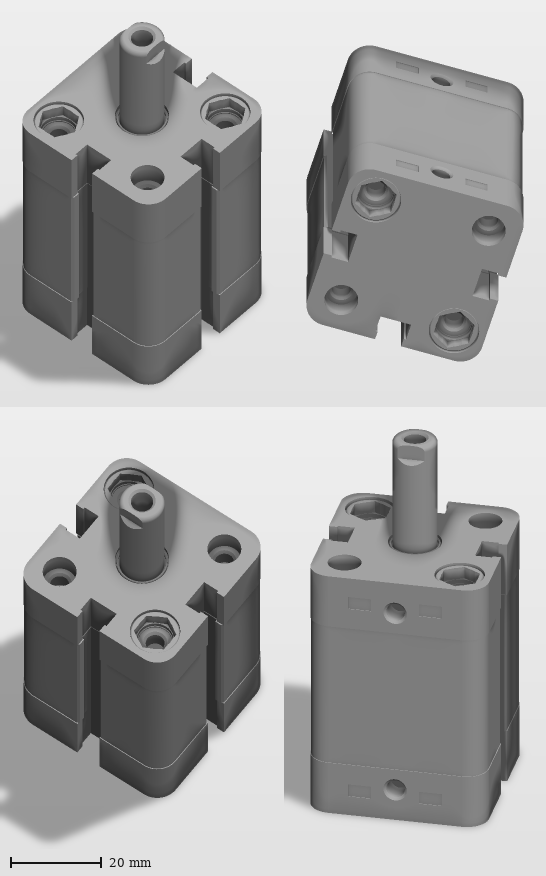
import cadquery as cq
import math

total_height = 85.0
cap_width = 40.3
barrel_width = 39.95
housing_height = 59.0
cap_height = 12.5
barrel_height = housing_height - 2 * cap_height
cap_corner_radius = 5.0
barrel_corner_radius = cap_corner_radius - (cap_width - barrel_width) / 2

cap_slot = {"mouth": 6.0, "inner": 7.05, "ledge": 18.2, "floor": 14.4}
barrel_slot = {"mouth": 5.5, "inner": 6.7, "ledge": 17.9, "floor": 14.45}
barrel_mouth_chamfer = 0.5
slot_directions = (0, 90, 270)

rod_diameter = 10.0
rod_tip_fillet = 1.3
rod_flat_width = 8.0
rod_flat_length = 3.5
rod_thread_diameter = 4.9
rod_thread_chamfer_diameter = 6.0
rod_thread_depth = 11.9
drill_point_angle = 118.0

rod_opening_diameter = 12.0
rod_opening_depth = 1.0
wiper_outer_diameter = 11.4
wiper_inner_diameter = 10.45
wiper_chamfer = 0.2
wiper_below_face = 0.2

screw_offset = 13.0
head_recess_diameter = 11.1
head_diameter = 10.9
head_chamfer = 0.21
head_recess_depth = 1.0
head_below_face = 0.5
socket_across_flats = 8.2
socket_relief_diameter = 8.3
socket_depth = 2.8
socket_bore_diameter = 8.0
socket_bore_depth = 1.0
socket_floor_diameter = 7.5
socket_floor_depth = 0.25
shank_hole_diameter = 7.5
shank_hole_depth = 5.0

thread_diameter = 4.2
thread_chamfer_diameter = 5.3
thread_chamfer_depth = (thread_chamfer_diameter - thread_diameter) / 2
screw_thread_depth = 4.25
port_depth = 5.1
port_from_end = 7.5

panel_length = 5.2
panel_height = 3.0
panel_depth = 0.2
panel_offset = 8.0
panel_rise = 1.4


def square_prism(width, height, corner_radius):
    prism = cq.Workplane("XY").rect(width, width).extrude(height)
    return prism.edges("|Z").fillet(corner_radius)


def disc(diameter, top, depth, centre=(0, 0)):
    """Vertical cylinder that reaches down by depth from the height top."""
    return cq.Workplane("XY", origin=(*centre, top - depth)).circle(diameter / 2).extrude(depth)


def slot_cutter(width, height, slot, mouth_chamfer=0):
    """T-slot opening on the +X side."""
    face = width / 2
    ledge = slot["ledge"]
    floor = slot["floor"]
    mouth = slot["mouth"] / 2
    inner = slot["inner"] / 2
    half = [(floor, inner), (ledge, inner), (ledge, mouth), (face - mouth_chamfer, mouth)]
    if mouth_chamfer > 0:
        half.append((face, mouth + mouth_chamfer))
    mirrored = [(x, -y) for x, y in reversed(half)]
    return cq.Workplane("XY").polyline(half + mirrored).close().extrude(height)


def cut_slots(body, cutter):
    for angle in slot_directions:
        body = body.cut(cutter.rotate((0, 0, 0), (0, 0, 1), angle))
    return body


def threaded_hole(depth):
    """Blind hole going down from the origin, with a chamfered mouth."""
    radius = thread_diameter / 2
    outline = [
        (0, 0),
        (thread_chamfer_diameter / 2, 0),
        (radius, -thread_chamfer_depth),
        (radius, -depth),
        (0, -depth),
    ]
    return cq.Workplane("XZ").polyline(outline).close().revolve(360, (0, 0, 0), (0, 1, 0))


def cut_head_corner(cap, centre):
    """Screw head with a hexagon socket, surrounded by a narrow groove."""
    recess = disc(head_recess_diameter, cap_height, head_recess_depth, centre)
    head_top = cap_height - head_below_face
    head = disc(head_diameter, head_top, head_recess_depth - head_below_face, centre)
    head = head.faces(">Z").chamfer(head_chamfer)
    cap = cap.cut(recess.cut(head))

    socket_floor = head_top - socket_depth
    across_corners = socket_across_flats / math.cos(math.radians(30))
    floor_plane = cq.Workplane("XY", origin=(*centre, socket_floor))
    hexagon = floor_plane.polygon(6, across_corners).extrude(socket_depth)
    cap = cap.cut(hexagon).cut(disc(socket_relief_diameter, head_top, socket_depth, centre))

    bore_floor = socket_floor - socket_bore_depth
    cap = cap.cut(disc(socket_bore_diameter, socket_floor, socket_bore_depth, centre))
    cap = cap.cut(disc(socket_floor_diameter, bore_floor, socket_floor_depth, centre))
    return cap.cut(threaded_hole(screw_thread_depth).translate((*centre, bore_floor - socket_floor_depth)))


def cut_shank_corner(cap, centre):
    """Plain bore that ends on the threaded end of the opposite screw."""
    cap = cap.cut(disc(shank_hole_diameter, cap_height, shank_hole_depth, centre))
    return cap.cut(threaded_hole(screw_thread_depth).translate((*centre, cap_height - shank_hole_depth)))


def cut_port(cap):
    """Air port and its two label panels on the -X side."""
    port_height = cap_height - port_from_end
    port = threaded_hole(port_depth).rotate((0, 0, 0), (0, 1, 0), -90)
    cap = cap.cut(port.translate((-cap_width / 2, 0, port_height)))
    for side in (-1, 1):
        panel = cq.Workplane("XY").box(2 * panel_depth, panel_length, panel_height)
        cap = cap.cut(panel.translate((-cap_width / 2, side * panel_offset, port_height + panel_rise)))
    return cap


def make_cap():
    """Cap with its inner face at Z = 0 and its outer face on top."""
    cap = square_prism(cap_width, cap_height, cap_corner_radius)
    cap = cut_slots(cap, slot_cutter(cap_width, cap_height, cap_slot))
    for side in (-1, 1):
        cap = cut_head_corner(cap, (side * screw_offset, side * screw_offset))
        cap = cut_shank_corner(cap, (side * screw_offset, -side * screw_offset))
    return cut_port(cap)


def wiper_lip():
    """Raised ring around the rod, with both top edges chamfered."""
    top = cap_height - wiper_below_face
    height = rod_opening_depth - wiper_below_face
    lip = disc(wiper_outer_diameter, top, height).cut(disc(wiper_inner_diameter, top, height))
    return lip.faces(">Z").edges().chamfer(wiper_chamfer)


def make_front_cap():
    cap = make_cap()
    cap = cap.cut(disc(rod_diameter, cap_height, cap_height))
    opening = disc(rod_opening_diameter, cap_height, rod_opening_depth)
    cap = cap.cut(opening.cut(wiper_lip()))
    return cap.translate((0, 0, housing_height - cap_height))


def make_rear_cap():
    """The same cap turned over about the X axis."""
    return make_cap().rotate((0, 0, 0), (1, 0, 0), 180).translate((0, 0, cap_height))


def make_barrel():
    barrel = square_prism(barrel_width, barrel_height, barrel_corner_radius)
    barrel = cut_slots(barrel, slot_cutter(barrel_width, barrel_height, barrel_slot, barrel_mouth_chamfer))
    return barrel.translate((0, 0, cap_height))


def make_piston_rod():
    rod_bottom = housing_height - cap_height
    rod = disc(rod_diameter, total_height, total_height - rod_bottom)
    rod = rod.faces(">Z").edges().fillet(rod_tip_fillet)

    flat = rod_flat_width / 2
    surface = rod_diameter / 2
    flat_end = total_height - rod_flat_length
    outline = [
        (flat, total_height),
        (flat, flat_end),
        (surface, flat_end - (surface - flat)),
        (surface, total_height),
    ]
    flat_cutter = cq.Workplane("XZ").polyline(outline).close().extrude(surface, both=True)
    rod = rod.cut(flat_cutter).cut(flat_cutter.mirror("YZ"))

    radius = rod_thread_diameter / 2
    chamfer_radius = rod_thread_chamfer_diameter / 2
    straight_end = total_height - rod_thread_depth
    point_depth = radius / math.tan(math.radians(drill_point_angle / 2))
    bore = [
        (0, total_height),
        (chamfer_radius, total_height),
        (radius, total_height - (chamfer_radius - radius)),
        (radius, straight_end),
        (0, straight_end - point_depth),
    ]
    return rod.cut(cq.Workplane("XZ").polyline(bore).close().revolve(360, (0, 0, 0), (0, 1, 0)))


front_cap = make_front_cap()
rear_cap = make_rear_cap()
barrel = make_barrel()
piston_rod = make_piston_rod()

result = cq.Compound.makeCompound([front_cap.val(), rear_cap.val(), barrel.val(), piston_rod.val()])